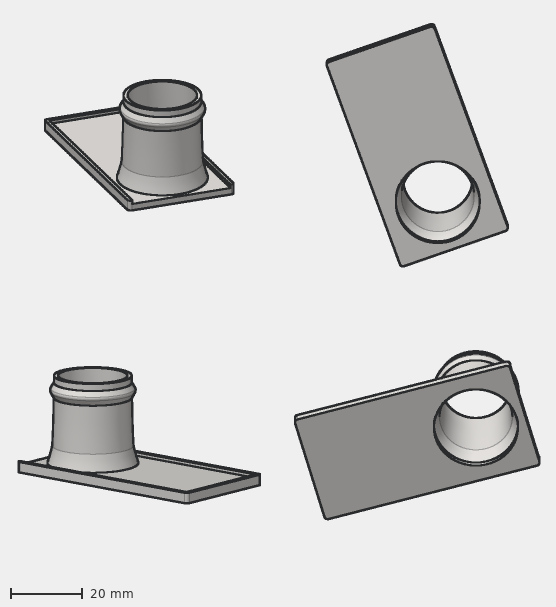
import cadquery as cq

plate_length = 62.5
plate_width = 32.0
plate_height = 3.0
floor_thickness = 2.0
rim_width = 1.2
corner_radius = 1.0

spigot_end_distance = 14.2
spigot_x = plate_length / 2 - spigot_end_distance

total_height = 27.0
lip_bottom_z = 25.0
bead_z = 22.9
bead_bottom_z = 20.8
flare_top_z = 7.0

lip_radius = 10.9
bead_corner_radius = 12.15
neck_radius = 11.0
waist_radius = 11.4
flare_radius = 12.75
flare_hollow = 0.1
neck_hollow = 0.08
bead_rounding = 1.0

floor_hole_diameter = 23.5
wall_thickness = 1.2
bore_top_radius = lip_radius - wall_thickness
bore_waist_radius = waist_radius - wall_thickness


def make_plate():
    plate = (
        cq.Workplane("XY")
        .box(plate_length, plate_width, plate_height, centered=(True, True, False))
        .edges("|Z")
        .fillet(corner_radius)
    )
    recess = cq.Workplane("XY").box(
        plate_length,
        plate_width - 2 * rim_width,
        plate_height,
        centered=(True, True, False),
    )
    return plate.cut(recess.translate((rim_width, 0, floor_thickness)))


def revolve_at_spigot(profile):
    """Turn a (radius, height) half profile around the spigot axis."""
    turned = profile.close().revolve(360, (0, 0, 0), (0, 1, 0))
    return turned.translate((spigot_x, 0, 0))


def make_spigot():
    profile = (
        cq.Workplane("XZ")
        .moveTo(0, floor_thickness)
        .lineTo(flare_radius, floor_thickness)
        .sagittaArc((waist_radius, flare_top_z), flare_hollow)
        .sagittaArc((neck_radius, bead_bottom_z), neck_hollow)
        .lineTo(bead_corner_radius, bead_z)
        .lineTo(lip_radius, lip_bottom_z)
        .lineTo(lip_radius, total_height)
        .lineTo(0, total_height)
    )
    spigot = revolve_at_spigot(profile)
    bead_edge = cq.selectors.BoxSelector(
        (spigot_x - lip_radius, -lip_radius, bead_z - bead_rounding / 2),
        (spigot_x + lip_radius, lip_radius, bead_z + bead_rounding / 2),
    )
    return spigot.edges("%CIRCLE").edges(bead_edge).fillet(bead_rounding)


def make_bore():
    hole_radius = floor_hole_diameter / 2
    profile = (
        cq.Workplane("XZ")
        .lineTo(hole_radius, 0)
        .lineTo(hole_radius, floor_thickness)
        .sagittaArc((bore_waist_radius, flare_top_z), flare_hollow)
        .sagittaArc((bore_top_radius, total_height), neck_hollow)
        .lineTo(0, total_height)
    )
    return revolve_at_spigot(profile)


result = make_plate().union(make_spigot()).cut(make_bore())